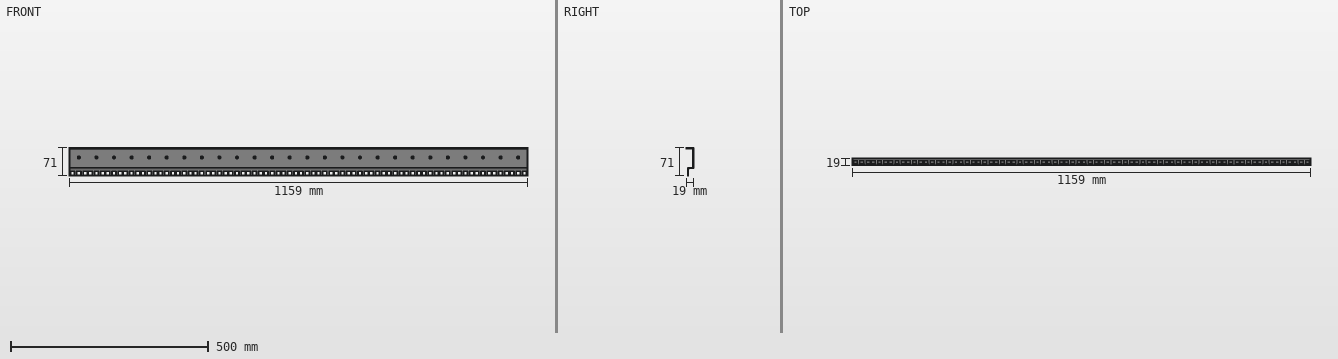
import cadquery as cq
length = 1159.0
depth = 19.0
height = 71.0

sheet = 2.0
inner_bend = 1.0
outer_bend = inner_bend + sheet
lower_front = 3.0
step_underside = 19.0
step_top = step_underside + sheet
lower_back = lower_front + sheet
web_front = depth - sheet
top_underside = height - sheet

unit_count = 26
end_margin = 1.6
unit_pitch = (length - 2 * end_margin) / unit_count
edge_hole_offset = 6.4
hole_offsets = (edge_hole_offset, unit_pitch / 2, unit_pitch - edge_hole_offset)

square_hole = 9.5
lower_hole_z = 6.7
top_hole_y = 7.0
web_hole_diameter = 5.2
web_hole_z = 46.0

unit_starts = [end_margin + unit * unit_pitch for unit in range(unit_count)]
square_hole_xs = [start + offset for start in unit_starts for offset in hole_offsets]
web_hole_xs = [start + unit_pitch / 2 for start in unit_starts]


def bent_sheet():
    """Top flange, upright web, step and lower flange, rounded along every bend."""
    section = [
        (0, height),
        (depth, height),
        (depth, step_underside),
        (lower_back, step_underside),
        (lower_back, 0),
        (lower_front, 0),
        (lower_front, step_top),
        (web_front, step_top),
        (web_front, top_underside),
        (0, top_underside),
    ]
    bends = [
        (depth, height, outer_bend),
        (web_front, top_underside, inner_bend),
        (depth, step_underside, outer_bend),
        (web_front, step_top, inner_bend),
        (lower_front, step_top, outer_bend),
        (lower_back, step_underside, inner_bend),
    ]
    rail = cq.Workplane("YZ").polyline(section).close().extrude(length)
    for y, z, radius in bends:
        corner = cq.selectors.NearestToPointSelector((length / 2, y, z))
        rail = rail.edges("|X").edges(corner).fillet(radius)
    return rail


def lower_flange_holes():
    centres = [(x, lower_hole_z) for x in square_hole_xs]
    return cq.Workplane("XZ").pushPoints(centres).rect(square_hole, square_hole).extrude(-lower_back)


def top_flange_holes():
    centres = [(x, top_hole_y) for x in square_hole_xs]
    plane = cq.Workplane("XY").workplane(offset=top_underside)
    return plane.pushPoints(centres).rect(square_hole, square_hole).extrude(sheet)


def web_holes():
    centres = [(x, web_hole_z) for x in web_hole_xs]
    plane = cq.Workplane("XZ").workplane(offset=-web_front)
    return plane.pushPoints(centres).circle(web_hole_diameter / 2).extrude(-sheet)


result = bent_sheet().cut(lower_flange_holes()).cut(top_flange_holes()).cut(web_holes())